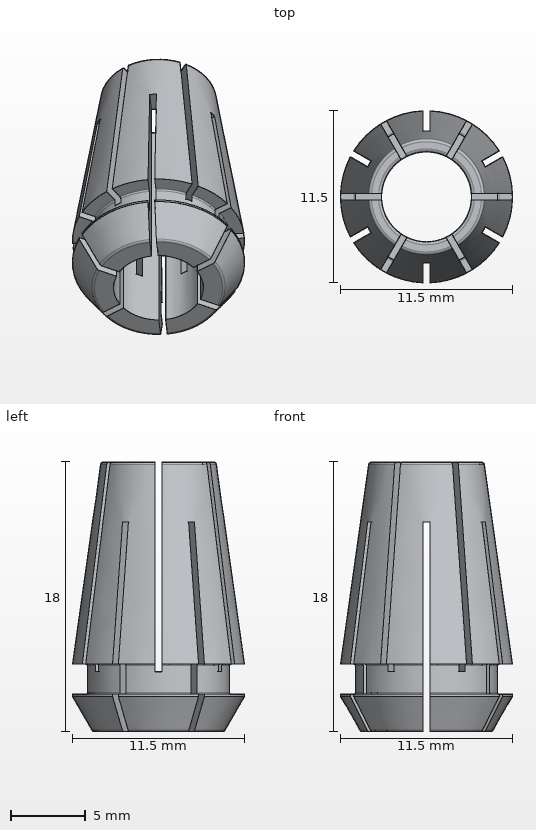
import cadquery as cq
import math

total_height = 18.0
max_radius = 11.5 / 2
bore_radius = 6.0 / 2

taper_bottom = 4.5
taper_angle = math.radians(8)
taper_top_radius = max_radius - (total_height - taper_bottom) * math.tan(taper_angle)

groove_bottom = 2.5
groove_radius = 4.75
collar_angle = math.radians(30)
collar_rim_height = 0.15
collar_rim_bottom = groove_bottom - collar_rim_height
collar_bottom_radius = max_radius - collar_rim_bottom * math.tan(collar_angle)

top_fillet = 0.2
groove_fillet = 0.1
collar_bottom_fillet = 0.2

slot_width = 0.45
slots_per_end = 6
slot_pitch = 360 / slots_per_end
upper_slot_floor = 4.0
lower_slot_ceiling = 14.0
cut_margin = 1.0


def circle_edges(body, radius, height):
    """Circular edges of the given radius lying at the given height."""
    tolerance = 1e-4

    def matches(edge):
        return (
            edge.geomType() == "CIRCLE"
            and abs(edge.radius() - radius) < tolerance
            and abs(edge.Center().z - height) < tolerance
        )

    return body.edges().filter(matches)


def collet_body():
    """Revolve the wall section, one closed outline in the XZ plane."""
    section = (
        cq.Workplane("XZ")
        .moveTo(bore_radius, 0)
        .lineTo(collar_bottom_radius, 0)
        .lineTo(max_radius, collar_rim_bottom)
        .lineTo(max_radius, groove_bottom)
        .lineTo(groove_radius, groove_bottom)
        .lineTo(groove_radius, taper_bottom)
        .lineTo(max_radius, taper_bottom)
        .lineTo(taper_top_radius, total_height)
        .lineTo(bore_radius, total_height)
        .close()
    )
    return section.revolve(360, (0, 0, 0), (0, 1, 0))


def round_edges(body):
    """Round the mouth, the groove floor corners and the bottom outer edge."""
    body = body.faces(">Z").edges().fillet(top_fillet)
    for corner_height in (groove_bottom, taper_bottom):
        body = circle_edges(body, groove_radius, corner_height).fillet(groove_fillet)
    body = circle_edges(body, collar_bottom_radius, 0).fillet(collar_bottom_fillet)
    return body


def slot_set(first_angle, bottom, top):
    """Radial slot cutters, evenly spaced and spanning from bottom to top."""
    length = max_radius + cut_margin
    blade = cq.Workplane("XY").box(length, slot_width, top - bottom, centered=(False, True, False))
    blade = blade.translate((0, 0, bottom))
    blades = cq.Workplane("XY")
    for index in range(slots_per_end):
        angle = first_angle + index * slot_pitch
        blades = blades.add(blade.rotate((0, 0, 0), (0, 0, 1), angle))
    return blades.combine()


result = round_edges(collet_body())
result = result.cut(slot_set(0, upper_slot_floor, total_height + cut_margin))
result = result.cut(slot_set(slot_pitch / 2, -cut_margin, lower_slot_ceiling))